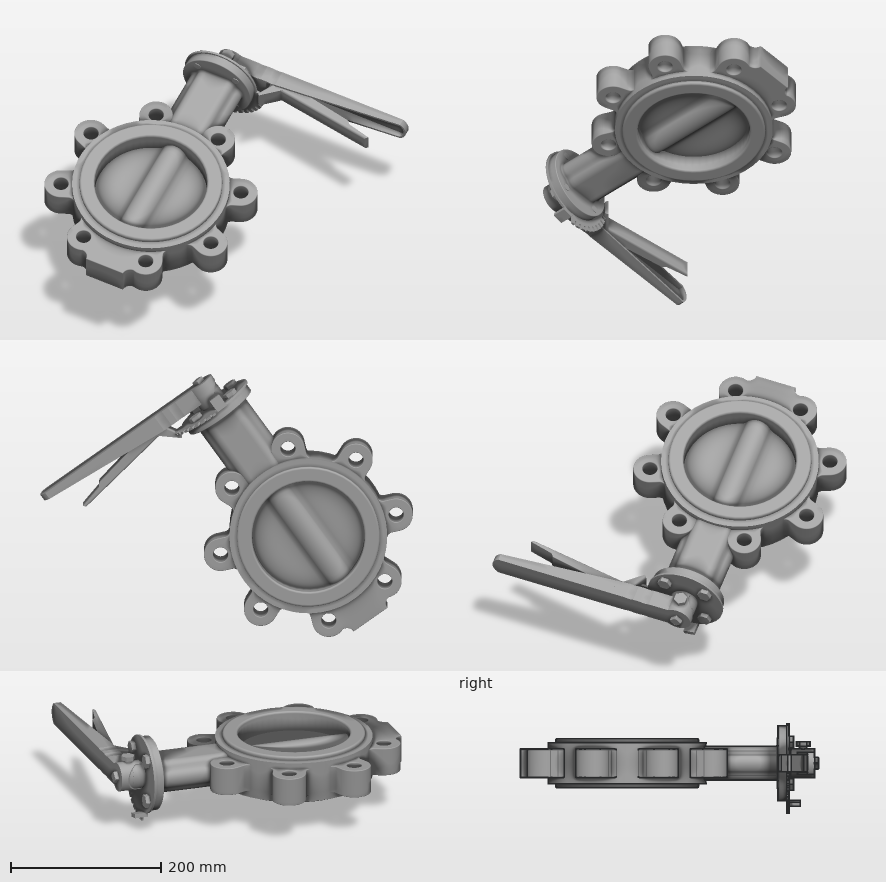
import cadquery as cq
import math


edge_round = 1.0

ring_diameter = 210.0
ring_half_height = 27.5
seat_diameter = 190.0
seat_half_height = 32.75
seat_round = 2.8
bore_diameter = 150.0

lug_count = 8
lug_circle_radius = 120.0
lug_radius = 22.2
lug_hole_diameter = 20.0
lug_half_height = 19.0
lug_straight_end = 108.8
lug_flare_radius = 8.5
lug_root_distance = 100.63
pad_inner = -99.2
pad_bottom = -142.0
pad_half_width = 27.5
pad_corner_radius = 10.7

neck_half_height = 22.5
neck_flat_half_width = 16.08
neck_corner_radius = 12.0
neck_ear_offset = 24.5
neck_ear_radius = 13.0
neck_valley_radius = 13.0
neck_root_round = 2.5
flange_diameter = 100.0
flange_bottom = 200.5
flange_top = 212.57

disc_half_height = 6.0
disc_hub_diameter = 39.0
disc_hub_fillet = 10.0
stem_diameter = 20.0
stem_square_side = 12.0
stem_square_diameter = 16.0
stem_top = 255.0
stem_end_chamfer = 1.0

plate_thickness = 2.98
plate_radius = 52.8
notch_rim_radius = 66.3
notch_rim_margin = 1.5
notch_count = 10
notch_pitch_angle = 9.0
notch_width = 3.9
notch_center_radius = 61.5
tab_angle = 11.5
tab_length = 15.5
tab_inner_radius = 51.5
tab_thickness = 5.5
tab_top = 230.5

hex_flats = 16.0
bolt_diameter = 10.0
bolt_offset = 28.0
bolt_head_height = 6.0
bolt_protrusion = 1.0

lever_top = 249.3
lever_bottom = 226.3
lever_tip_bottom = 240.0
lever_half_width = 14.9
lever_wall = 2.98
lever_end = 260.5
lever_end_arc_depth = 8.5
lever_taper_start = 74.0
channel_start = 59.5
grip_groove_starts = (39.5, 61.5)
grip_groove_width = 12.5
grip_groove_depth = 0.87
hub_diameter = 39.0
hub_bottom = 218.0
drum_diameter = 35.7
drum_top = 244.0
collar_diameter = 36.5
collar_top = 232.2
relief_edge = -7.5
relief_low = 226.3
relief_outer = -22.0
relief_high = 243.5
clamp_height = 234.2
clamp_head_base = 22.83

trigger_half_width = 11.5
trigger_round = 2.6
pin_diameter = 6.5
pin_x = 90.5
pin_y = 239.8

plate_top = flange_top + plate_thickness
hex_corners = hex_flats / math.cos(math.pi / 6)


def cylinder_y(diameter, y_low, y_high):
    """Cylinder about the stem axis."""
    return cq.Workplane("XZ", origin=(0, y_low, 0)).circle(diameter / 2).extrude(y_low - y_high)


def cylinder_z(diameter, half_height):
    """Cylinder about the flow axis, centred on z = 0."""
    return cq.Workplane("XY").circle(diameter / 2).extrude(half_height, both=True)


def toward(start, end, distance):
    """Point at a distance from start on the line to end."""
    span = math.dist(start, end)
    return tuple(s + (e - s) * distance / span for s, e in zip(start, end))


def arc_middle(center, start, end):
    """Middle of the shorter arc about center between two of its points."""
    chord_middle = ((start[0] + end[0]) / 2, (start[1] + end[1]) / 2)
    return toward(center, chord_middle, math.dist(center, start))


def circle_crossing(center_a, radius_a, center_b, radius_b):
    """Crossing of two circles that lies to the left when going from center_a to center_b."""
    span = math.dist(center_a, center_b)
    along = (radius_a**2 - radius_b**2 + span**2) / (2 * span)
    across = math.sqrt(radius_a**2 - along**2)
    ux = (center_b[0] - center_a[0]) / span
    uz = (center_b[1] - center_a[1]) / span
    return center_a[0] + along * ux - across * uz, center_a[1] + along * uz + across * ux


def make_lug(angle):
    """Lug with parallel sides that flare out into the ring."""
    flare_run = lug_straight_end - lug_root_distance
    root_half_width = lug_radius + lug_flare_radius - math.sqrt(lug_flare_radius**2 - flare_run**2)
    flare_center = (lug_straight_end, lug_radius + lug_flare_radius)
    straight_end = (lug_straight_end, lug_radius)
    root = (lug_root_distance, root_half_width)
    flare_middle = arc_middle(flare_center, straight_end, root)
    lug = (
        cq.Workplane("XY")
        .moveTo(lug_root_distance, -root_half_width)
        .threePointArc((flare_middle[0], -flare_middle[1]), (lug_straight_end, -lug_radius))
        .lineTo(lug_circle_radius, -lug_radius)
        .threePointArc((lug_circle_radius + lug_radius, 0), (lug_circle_radius, lug_radius))
        .lineTo(*straight_end)
        .threePointArc(flare_middle, root)
        .close()
        .extrude(lug_half_height, both=True)
    )
    lug = lug.faces("<Z or >Z").edges().fillet(edge_round)
    return lug.rotate((0, 0, 0), (0, 0, 1), angle)


def make_lugs():
    """Lugs, the fillers beside the neck and the bottom pad, as one rounded shape."""
    half_pitch = 180 / lug_count
    lug_x = lug_circle_radius * math.sin(math.radians(half_pitch))
    lug_y = lug_circle_radius * math.cos(math.radians(half_pitch))
    lugs = make_lug(half_pitch)
    for index in range(1, lug_count):
        lugs = lugs.union(make_lug(half_pitch + index * 360 / lug_count))
    for side in (-1, 1):
        filler = cq.Workplane("XY").center(side * (lug_x - lug_radius / 2), lug_y - lug_radius / 2)
        filler = filler.rect(lug_radius, lug_radius).extrude(lug_half_height, both=True)
        inner_edges = filler.faces("<X" if side > 0 else ">X").edges("|Y")
        lugs = lugs.union(inner_edges.fillet(edge_round))
    corner_x = pad_half_width + pad_corner_radius
    corner_y = pad_bottom + pad_corner_radius
    arc_step = pad_corner_radius * math.sqrt(0.5)
    pad = (
        cq.Workplane("XY")
        .moveTo(-lug_x, pad_inner)
        .lineTo(-lug_x, corner_y)
        .lineTo(-corner_x, corner_y)
        .threePointArc((-corner_x + arc_step, pad_bottom + arc_step), (-pad_half_width, pad_bottom))
        .lineTo(pad_half_width, pad_bottom)
        .threePointArc((corner_x - arc_step, pad_bottom + arc_step), (corner_x, corner_y))
        .lineTo(lug_x, corner_y)
        .lineTo(lug_x, pad_inner)
        .close()
        .extrude(lug_half_height, both=True)
    )
    pad = pad.faces("<Z or >Z").edges("(not |Y) and (not >Y)").fillet(edge_round)
    return lugs.union(pad)


def make_lug_holes():
    """Bolt holes with rounded rims."""
    spot = lug_hole_diameter / 2
    profile = (
        cq.Workplane("XZ")
        .lineTo(spot, 0)
        .lineTo(spot, lug_half_height - edge_round)
        .radiusArc((spot + edge_round, lug_half_height), edge_round)
        .lineTo(0, lug_half_height)
        .close()
        .revolve(360, (0, 0, 0), (0, 1, 0))
    )
    hole = profile.union(profile.mirror("XY"))
    return [
        hole.translate((lug_circle_radius, 0, 0)).rotate((0, 0, 0), (0, 0, 1), (index + 0.5) * 360 / lug_count)
        for index in range(lug_count)
    ]


def make_neck():
    """Neck with flat faces, rounded side ears and valleys between them."""
    corner_center = (neck_flat_half_width, neck_half_height - neck_corner_radius)
    ear_center = (neck_ear_offset, 0)
    valley_center = circle_crossing(
        corner_center,
        neck_corner_radius + neck_valley_radius,
        ear_center,
        neck_ear_radius + neck_valley_radius,
    )
    flat_end = (neck_flat_half_width, neck_half_height)
    valley_top = toward(corner_center, valley_center, neck_corner_radius)
    valley_low = toward(ear_center, valley_center, neck_ear_radius)
    corner_mid = arc_middle(corner_center, flat_end, valley_top)
    valley_mid = arc_middle(valley_center, valley_top, valley_low)
    ear_tip = (neck_ear_offset + neck_ear_radius, 0)

    def flip(point, x_sign, z_sign):
        return point[0] * x_sign, point[1] * z_sign

    outline = cq.Workplane("XZ").moveTo(*flip(flat_end, -1, 1)).lineTo(*flat_end)
    for side in (1, -1):
        outline = (
            outline.threePointArc(flip(corner_mid, side, side), flip(valley_top, side, side))
            .threePointArc(flip(valley_mid, side, side), flip(valley_low, side, side))
            .threePointArc(flip(ear_tip, side, 1), flip(valley_low, side, -side))
            .threePointArc(flip(valley_mid, side, -side), flip(valley_top, side, -side))
            .threePointArc(flip(corner_mid, side, -side), flip(flat_end, side, -side))
        )
        if side == 1:
            outline = outline.lineTo(*flip(flat_end, -1, -1))
    return outline.close().extrude(-flange_bottom)


def make_housing():
    flange = cylinder_y(flange_diameter, flange_bottom, flange_top).faces("<Y").edges().fillet(edge_round)
    housing = make_neck().union(flange)
    housing = housing.edges(cq.selectors.BoxSelector(
        (-39.5, flange_bottom - edge_round, -24), (39.5, flange_bottom + edge_round / 2, 24)
    )).fillet(neck_root_round)
    seat = cylinder_z(seat_diameter, seat_half_height).edges().fillet(seat_round)
    housing = housing.union(make_lugs()).union(cylinder_z(ring_diameter, ring_half_height)).union(seat)
    housing = housing.cut(cylinder_z(bore_diameter, seat_half_height))
    rims = cq.selectors.RadiusNthSelector(0)
    housing = housing.faces("|Z").faces("<Z or >Z").edges(rims).fillet(seat_round)
    for hole in make_lug_holes():
        housing = housing.cut(hole)
    housing = housing.cut(cylinder_y(stem_diameter, 0, flange_top))
    for x, z in bolt_places():
        housing = housing.cut(cylinder_y(bolt_diameter, flange_bottom, flange_top).translate((x, 0, z)))
    return housing


def make_disc():
    """Flat disc with a filleted tubular hub, and the stem with its square end."""
    hub_radius = disc_hub_diameter / 2
    fillet_height = disc_half_height + disc_hub_fillet
    fillet_x = math.sqrt((hub_radius + disc_hub_fillet) ** 2 - fillet_height**2)
    fillet_center = (fillet_x, fillet_height)
    foot = (fillet_x, disc_half_height)
    crest = toward((0, 0), fillet_center, hub_radius)
    bend = arc_middle(fillet_center, foot, crest)
    half_length = bore_diameter / 2
    hub = (
        cq.Workplane("XZ")
        .moveTo(-fillet_x, 0)
        .lineTo(-foot[0], foot[1])
        .threePointArc((-bend[0], bend[1]), (-crest[0], crest[1]))
        .threePointArc((0, hub_radius), crest)
        .threePointArc(bend, foot)
        .lineTo(fillet_x, 0)
        .close()
        .extrude(half_length, both=True)
    )
    hub = hub.union(hub.mirror("XY"))
    hub = hub.intersect(cylinder_z(bore_diameter, seat_half_height))
    disc = cylinder_z(bore_diameter, disc_half_height).union(hub)
    square_end = cylinder_y(stem_square_diameter, plate_top, stem_top).faces(">Y").chamfer(stem_end_chamfer)
    square_end = square_end.intersect(make_square(plate_top, stem_top))
    return disc.union(cylinder_y(stem_diameter, 0, plate_top)).union(square_end)


def make_square(y_low, y_high):
    """Square bar on the stem axis with its corners on X and Z."""
    bar = cq.Workplane("XZ", origin=(0, y_low, 0)).rect(stem_square_side, stem_square_side)
    return bar.extrude(y_low - y_high).rotate((0, 0, 0), (0, 1, 0), 45)


def bolt_places():
    return [(x, z) for x in (-bolt_offset, bolt_offset) for z in (-bolt_offset, bolt_offset)]


def make_bolt(x, z):
    """Bolt through plate and flange, head on the plate, end standing proud below the flange."""
    head = cq.Workplane("XZ", origin=(0, plate_top, 0)).polygon(6, hex_corners).extrude(-bolt_head_height)
    shank = cylinder_y(bolt_diameter, flange_bottom - bolt_protrusion, plate_top)
    return head.union(shank).translate((x, 0, z))


def make_plate(trigger):
    """Round plate with a notched quarter rim, a bent stop tab and a recess for the trigger jaw."""
    plate = cylinder_y(2 * plate_radius, flange_top, plate_top)
    rim = cylinder_y(2 * notch_rim_radius, flange_top, plate_top)
    quarter = cq.Workplane("XY").box(
        notch_rim_radius + notch_rim_margin, plate_top, notch_rim_radius + notch_rim_margin, centered=False
    ).translate((-notch_rim_margin, 0, -notch_rim_radius))
    plate = plate.union(rim.intersect(quarter))
    slot_length = notch_rim_radius - notch_center_radius + notch_width
    for index in range(notch_count):
        slot = (
            cq.Workplane("XZ", origin=(0, flange_top, 0))
            .center(notch_center_radius + slot_length / 2, 0)
            .slot2D(slot_length + notch_width, notch_width)
            .extrude(-plate_thickness)
            .rotate((0, 0, 0), (0, 1, 0), (index + 0.5) * notch_pitch_angle)
        )
        plate = plate.cut(slot)
    tab = (
        cq.Workplane("XZ", origin=(0, flange_top, 0))
        .center(0, -tab_inner_radius - tab_thickness / 2)
        .rect(tab_length, tab_thickness)
        .extrude(flange_top - tab_top)
        .rotate((0, 0, 0), (0, 1, 0), tab_angle)
    )
    plate = plate.union(tab).cut(cylinder_y(stem_diameter, flange_top, plate_top))
    for x, z in bolt_places():
        plate = plate.cut(cylinder_y(bolt_diameter, flange_top, plate_top).translate((x, 0, z)))
    return plate.cut(trigger)


def lever_plan(inset, start):
    """Lever arm outline in plan, with a rounded end, as a tall prism."""
    half = lever_half_width - inset
    end = lever_end - inset
    shoulder = lever_end - lever_end_arc_depth
    return (
        cq.Workplane("XZ")
        .moveTo(start, -half)
        .lineTo(shoulder, -half)
        .threePointArc((end, 0), (shoulder, half))
        .lineTo(start, half)
        .close()
        .extrude(-lever_top)
    )


def make_hub():
    """Clamping hub, cut away on the side opposite the arm so that its drum shows."""
    relief = (
        cq.Workplane("XY")
        .polyline([
            (relief_edge, hub_bottom),
            (relief_edge, relief_low),
            (relief_outer, relief_high),
            (relief_outer, hub_bottom),
        ])
        .close()
        .extrude(hub_diameter, both=True)
    )
    hub = cylinder_y(hub_diameter, hub_bottom, lever_top).cut(relief)
    hub = hub.union(cylinder_y(drum_diameter, plate_top, drum_top))
    return hub.union(cylinder_y(collar_diameter, hub_bottom, collar_top))


def make_clamp_screw():
    """Hexagon clamping screw that stands proud of the hub on +Z."""
    base = stem_square_diameter / 2
    shank = cq.Workplane("XY", origin=(0, clamp_height, base)).circle(bolt_diameter / 2)
    head = cq.Workplane("XY", origin=(0, clamp_height, clamp_head_base)).polygon(6, hex_corners)
    head = head.extrude(bolt_head_height).rotate((0, clamp_height, 0), (0, clamp_height, 1), 90)
    return shank.extrude(clamp_head_base - base).union(head)


def make_lever():
    profile = (
        cq.Workplane("XY")
        .polyline([
            (0, lever_top),
            (0, lever_bottom),
            (lever_taper_start, lever_bottom),
            (lever_end, lever_tip_bottom),
            (lever_end, lever_top),
        ])
        .close()
        .extrude(lever_half_width, both=True)
    )
    arm = profile.intersect(lever_plan(0, 0))
    arm = arm.cut(lever_plan(lever_wall, channel_start).translate((0, -lever_wall, 0)))
    half_chord = grip_groove_width / 2
    groove_radius = (half_chord**2 + grip_groove_depth**2) / (2 * grip_groove_depth)
    groove_z = lever_half_width + groove_radius - grip_groove_depth
    for start in grip_groove_starts:
        for side in (-1, 1):
            cutter = cylinder_y(2 * groove_radius, 0, lever_top)
            arm = arm.cut(cutter.translate((start + half_chord, 0, side * groove_z)))
    lever = arm.union(make_hub()).union(make_clamp_screw())
    return lever.cut(make_stem_socket()).cut(make_pin(lever_half_width))


def make_stem_socket():
    return make_square(plate_top, lever_top).intersect(cylinder_y(stem_square_diameter, plate_top, lever_top))


def make_pin(half_length):
    return cq.Workplane("XY").center(pin_x, pin_y).circle(pin_diameter / 2).extrude(half_length, both=True)


def make_trigger():
    """Locking trigger with a jaw at the plate, a squeeze bar under the arm and its pivot pin."""
    jaw_inner = (58.0, 207.2)
    jaw_tip = (61.0, 203.5)
    elbow = (83.8, 223.5)
    bar_end_low = (218.5, 201.5)
    bar_end_high = (222.0, 205.2)
    step_low = (189.7, 213.5)
    step_high = (185.8, 218.5)
    rear = (103.2, 235.0)
    crown = (97.5, 244.5)
    crown_front = (79.5, 244.5)
    throat = (68.3, 225.5)
    bar = (
        cq.Workplane("XY")
        .polyline([
            jaw_inner, jaw_tip, elbow, bar_end_low, bar_end_high, step_low,
            step_high, rear, crown, crown_front, throat,
        ])
        .close()
        .extrude(trigger_half_width, both=True)
    )
    under_face = bar.faces(cq.selectors.NearestToPointSelector((151, 212.5, 0)))
    trigger = under_face.edges("not |Z").fillet(trigger_round)
    throat_edges = trigger.faces(cq.selectors.NearestToPointSelector((63.0, 216.5, 0))).edges("not |Z")
    trigger = throat_edges.fillet(trigger_round)
    return trigger.union(make_pin(lever_half_width))


trigger = make_trigger()
plate = make_plate(trigger)
housing = make_housing()
disc = make_disc()
lever = make_lever()
bolts = [make_bolt(x, z) for x, z in bolt_places()]

result = cq.Compound.makeCompound(
    [housing.val(), disc.val(), plate.val(), lever.val(), trigger.val(), *[bolt.val() for bolt in bolts]]
)